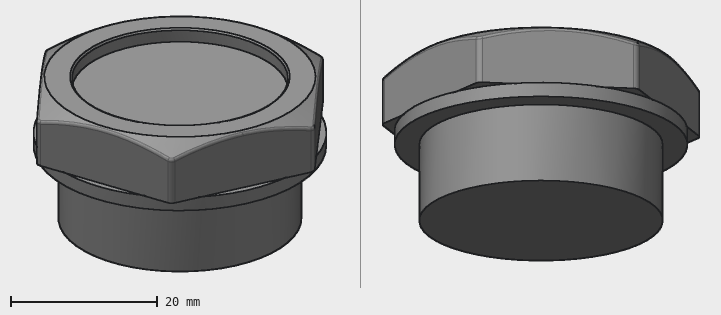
import cadquery as cq
import math

shank_diameter = 33.25
shank_height = 11.0
flange_diameter = 40.0
flange_height = 2.0
across_flats = 38.0
hex_height = 8.5
hex_edge_radius = 1.0
rim_edge_radius = 0.52
top_face_diameter = 37.05
chamfer_angle = 30.0
recess_diameter = 29.5
recess_depth = 2.0
recess_rim_chamfer = 0.25
envelope_margin = 0.45

hex_base = shank_height + flange_height
total_height = hex_base + hex_height
hex_sides = 6
across_corners = across_flats / math.cos(math.pi / hex_sides)


def make_hex_head():
    """Hexagon with corners on Y, conically chamfered on top, with rounded edges."""
    head = (
        cq.Workplane("XY", origin=(0, 0, hex_base))
        .transformed(rotate=(0, 0, 90))
        .polygon(hex_sides, across_corners)
        .extrude(hex_height)
        .edges("|Z")
        .fillet(hex_edge_radius)
    )
    top_radius = top_face_diameter / 2
    envelope_radius = across_corners / 2 + envelope_margin
    cone_drop = (envelope_radius - top_radius) * math.tan(math.radians(chamfer_angle))
    envelope = (
        cq.Workplane("XZ")
        .moveTo(0, hex_base)
        .lineTo(envelope_radius, hex_base)
        .lineTo(envelope_radius, total_height - cone_drop)
        .lineTo(top_radius, total_height)
        .lineTo(0, total_height)
        .close()
        .revolve(360, (0, 0, 0), (0, 1, 0))
    )
    head = head.intersect(envelope)
    return head.edges("not (|Z or <Z or >Z)").fillet(rim_edge_radius)


def make_recess():
    """Shallow round recess in the top face with a small rim chamfer."""
    radius = recess_diameter / 2
    return (
        cq.Workplane("XZ")
        .moveTo(0, total_height - recess_depth)
        .lineTo(radius, total_height - recess_depth)
        .lineTo(radius, total_height - recess_rim_chamfer)
        .lineTo(radius + recess_rim_chamfer, total_height)
        .lineTo(0, total_height)
        .close()
        .revolve(360, (0, 0, 0), (0, 1, 0))
    )


shank = cq.Workplane("XY").circle(shank_diameter / 2).extrude(shank_height)
flange = (
    cq.Workplane("XY", origin=(0, 0, shank_height))
    .circle(flange_diameter / 2)
    .extrude(flange_height)
)

result = shank.union(flange).union(make_hex_head()).cut(make_recess())